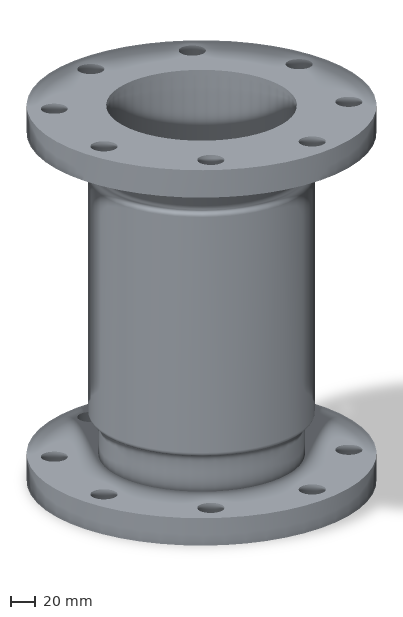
import cadquery as cq
import math

total_height = 329.0
flange_diameter = 285.0
flange_thickness = 24.0

pipe_diameter = 168.5
bore_diameter = 155.3
sleeve_diameter = 184.5
sleeve_length = 214.5
sleeve_edge_radius = 4.0
pipe_corner_radius = 2.5

bolt_count = 8
bolt_circle_diameter = 240.2
bolt_hole_diameter = 22.0
first_bolt_angle = 360.0 / bolt_count / 2


def cylinder(diameter, height, bottom):
    """Upright cylinder on the Z axis, starting at the given height."""
    return cq.Workplane("XY").workplane(offset=bottom).circle(diameter / 2).extrude(height)


def make_sleeve():
    """Sleeve centred along the pipe, with both outer edges rounded."""
    sleeve_bottom = (total_height - sleeve_length) / 2
    sleeve = cylinder(sleeve_diameter, sleeve_length, sleeve_bottom)
    return sleeve.edges("%CIRCLE").fillet(sleeve_edge_radius)


def make_corner_fillet():
    """Concave ring that fills the corner between the pipe and the top end of the sleeve."""
    pipe_radius = pipe_diameter / 2
    sleeve_top = (total_height + sleeve_length) / 2
    arc_center_x = pipe_radius + pipe_corner_radius
    arc_center_z = sleeve_top + pipe_corner_radius
    arc_reach = pipe_corner_radius * math.sqrt(0.5)
    return (
        cq.Workplane("XZ")
        .moveTo(bore_diameter / 2, sleeve_top)
        .lineTo(arc_center_x, sleeve_top)
        .threePointArc(
            (arc_center_x - arc_reach, arc_center_z - arc_reach),
            (pipe_radius, arc_center_z),
        )
        .lineTo(bore_diameter / 2, arc_center_z)
        .close()
        .revolve(360, (0, 0), (0, 1))
    )


def make_bolt_holes():
    """Bolt hole cutters that pass through both flanges, clear of the sleeve."""
    return (
        cq.Workplane("XY")
        .polarArray(bolt_circle_diameter / 2, first_bolt_angle, 360, bolt_count)
        .circle(bolt_hole_diameter / 2)
        .extrude(total_height)
    )


bottom_flange = cylinder(flange_diameter, flange_thickness, 0)
top_flange = cylinder(flange_diameter, flange_thickness, total_height - flange_thickness)
pipe = cylinder(pipe_diameter, total_height, 0)
bore = cylinder(bore_diameter, total_height, 0)

top_fillet = make_corner_fillet()
bottom_fillet = top_fillet.mirror("XY", (0, 0, total_height / 2))

body = pipe.union(bottom_flange).union(top_flange)
body = body.union(make_sleeve()).union(top_fillet).union(bottom_fillet)
result = body.cut(bore).cut(make_bolt_holes())